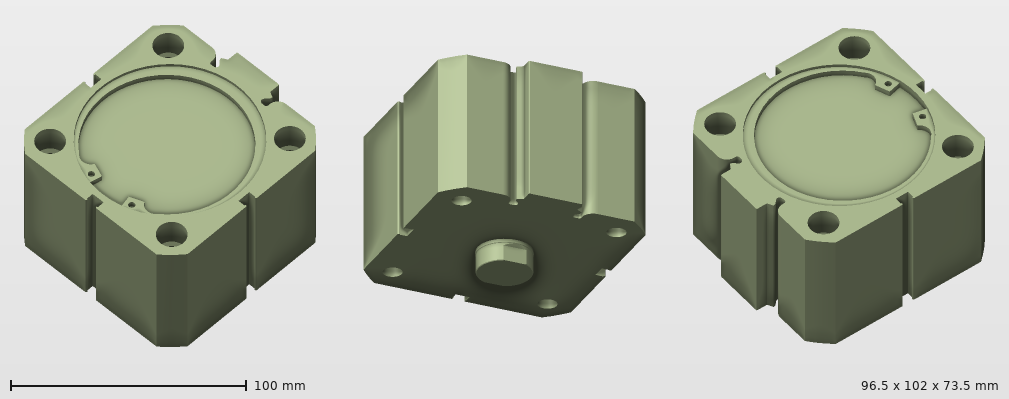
import cadquery as cq
import math


body_width = 96.5
half_width = body_width / 2
body_height = 63.5
corner_radius = 62.0
corner_reach = math.sqrt(corner_radius**2 - half_width**2)

hole_pitch = 72.0
hole_diameter = 8.6
counterbore_diameter = 13.5
counterbore_depth = 13.5

slot_width = 6.5
slot_depth = 4.5
slot_mouth_width = 5.5
slot_lip = 0.9
slot_mouth_chamfer = 0.4

rail_top = 53.75
rail_half_width = 12.5
rail_edge_radius = 0.5
groove_floor = 41.3
groove_outer_wall = 16.9
groove_shoulder_radius = 5.0
groove_corner_radius = 1.0
hook_tip_x = 15.2
hook_tip_y = 46.8
hook_nose_x = 14.9
groove_round_x = 14.3
groove_round_radius = 1.5

bore_radius = 40.9
ring_recess = 1.5
ring_thickness = 2.9
cover_thickness = 10.0
ring_bottom = body_height - ring_recess - ring_thickness
cover_bottom = ring_bottom - cover_thickness

ring_inner_radius = 37.6
ring_inner_offset = -1.9
neck_radius = 5.0
neck_center = (19.2, -28.4)
lug_tip_x = 14.75
lug_inner_corner = (7.95, -33.3)
lug_end_x = 9.4
lug_hole_center = (11.95, -35.6)
lug_hole_diameter = 3.1

rod_diameter = 25.0
rod_end_diameter = 24.5
rod_collar_length = 1.75
rod_length_outside = 10.0
rod_chamfer = 0.3
flats_width = 22.0


def mirrored(point):
    """The point reflected in the YZ plane."""
    x, y = point
    return (-x, y)


def make_block():
    half = half_width
    reach = corner_reach
    corner = corner_radius * math.sqrt(0.5)
    return (
        cq.Workplane("XY")
        .moveTo(half, -reach)
        .lineTo(half, reach)
        .threePointArc((corner, corner), (reach, half))
        .lineTo(-reach, half)
        .threePointArc((-corner, corner), (-half, reach))
        .lineTo(-half, -reach)
        .threePointArc((-corner, -corner), (-reach, -half))
        .lineTo(reach, -half)
        .threePointArc((corner, -corner), (half, -reach))
        .close()
        .extrude(body_height)
    )


def make_rail():
    height = rail_top - groove_floor
    return (
        cq.Workplane("XY")
        .rect(2 * rail_half_width, height)
        .extrude(body_height)
        .edges("|Z and >Y")
        .fillet(rail_edge_radius)
        .translate((0, groove_floor + height / 2, 0))
    )


def make_groove():
    """Undercut groove on the +X side of the rail, between its hook and the rounded shoulder."""
    shoulder_x = groove_outer_wall + groove_shoulder_radius
    shoulder_y = half_width - groove_shoulder_radius
    shoulder_mid = groove_shoulder_radius * math.sqrt(0.5)
    corner = groove_corner_radius
    corner_mid = corner * (1 - math.sqrt(0.5))
    round_y = groove_floor + groove_round_radius
    round_diagonal = groove_round_radius * math.sqrt(0.5)
    flank_end = (groove_round_x - round_diagonal, round_y + round_diagonal)
    nose_y = flank_end[1] + hook_nose_x - flank_end[0]
    return (
        cq.Workplane("XY")
        .moveTo(rail_half_width, half_width)
        .lineTo(hook_tip_x, hook_tip_y)
        .lineTo(hook_nose_x, nose_y)
        .lineTo(*flank_end)
        .threePointArc((groove_round_x - groove_round_radius, round_y), (groove_round_x, groove_floor))
        .lineTo(groove_outer_wall - corner, groove_floor)
        .threePointArc(
            (groove_outer_wall - corner_mid, groove_floor + corner_mid),
            (groove_outer_wall, groove_floor + corner),
        )
        .lineTo(groove_outer_wall, shoulder_y)
        .threePointArc(
            (shoulder_x - shoulder_mid, shoulder_y + shoulder_mid),
            (shoulder_x, half_width),
        )
        .close()
        .extrude(body_height)
    )


def make_slot():
    """Sensor slot in the -Y face, narrowed by a lip with chamfered edges at its mouth."""
    half_slot = slot_width / 2
    half_mouth = slot_mouth_width / 2
    flared_mouth = half_mouth + slot_mouth_chamfer
    face = -half_width
    right_side = [
        (flared_mouth, face),
        (half_mouth, face + slot_mouth_chamfer),
        (half_mouth, face + slot_lip),
        (half_slot, face + slot_lip),
        (half_slot, face + slot_depth),
    ]
    left_side = [mirrored(point) for point in reversed(right_side)]
    return cq.Workplane("XY").polyline(right_side + left_side).close().extrude(body_height)


def make_housing():
    housing = make_block().union(make_rail())
    groove = make_groove()
    housing = housing.cut(groove).cut(groove.mirror("YZ"))
    for angle in (-90, 0, 90):
        housing = housing.cut(make_slot().rotate((0, 0, 0), (0, 0, 1), angle))
    housing = (
        housing.faces(">Z")
        .workplane(origin=(0, 0, body_height))
        .rect(hole_pitch, hole_pitch, forConstruction=True)
        .vertices()
        .cboreHole(hole_diameter, counterbore_diameter, counterbore_depth)
    )
    head_bore = cq.Workplane("XY").workplane(offset=cover_bottom).circle(bore_radius).extrude(body_height)
    rod_hole = cq.Workplane("XY").circle(rod_diameter / 2).extrude(cover_bottom)
    return housing.cut(head_bore).cut(rod_hole)


def make_cover():
    return cq.Workplane("XY").workplane(offset=cover_bottom).circle(bore_radius).extrude(cover_thickness)


def make_ring():
    """Open retaining ring: off-axis inner circle, round necks and two lugs with plier holes."""
    neck_x, neck_y = neck_center
    lug_tip = (lug_tip_x, neck_y - math.sqrt(neck_radius**2 - (neck_x - lug_tip_x) ** 2))
    neck_bottom = (neck_x, neck_y - neck_radius)
    lug_end = (lug_end_x, -math.sqrt(bore_radius**2 - lug_end_x**2))

    rise = neck_y - ring_inner_offset
    distance = math.hypot(neck_x, rise)
    along = (distance**2 + ring_inner_radius**2 - neck_radius**2) / (2 * distance)
    across = math.sqrt(ring_inner_radius**2 - along**2)
    neck_start = (
        (along * neck_x - across * rise) / distance,
        ring_inner_offset + (along * rise + across * neck_x) / distance,
    )

    hole_x, hole_y = lug_hole_center
    return (
        cq.Workplane("XY")
        .workplane(offset=ring_bottom)
        .moveTo(*lug_end)
        .threePointArc((0, bore_radius), mirrored(lug_end))
        .lineTo(*mirrored(lug_inner_corner))
        .lineTo(*mirrored(lug_tip))
        .threePointArc(mirrored(neck_bottom), mirrored(neck_start))
        .threePointArc((0, ring_inner_offset + ring_inner_radius), neck_start)
        .threePointArc(neck_bottom, lug_tip)
        .lineTo(*lug_inner_corner)
        .close()
        .pushPoints([(hole_x, hole_y), (-hole_x, hole_y)])
        .circle(lug_hole_diameter / 2)
        .extrude(ring_thickness)
    )


def make_rod():
    """Rod with a stepped-down end that carries two wrench flats, each run out by a 45 degree slope."""
    radius = rod_diameter / 2
    end_radius = rod_end_diameter / 2
    shaft = (
        cq.Workplane("XY")
        .workplane(offset=-rod_collar_length)
        .circle(radius)
        .extrude(cover_bottom + rod_collar_length)
        .faces("<Z")
        .chamfer(radius - end_radius)
    )
    end = (
        cq.Workplane("XY")
        .workplane(offset=-rod_length_outside)
        .circle(end_radius)
        .extrude(rod_length_outside - rod_collar_length)
        .faces("<Z")
        .chamfer(rod_chamfer)
    )
    half_flats = flats_width / 2
    slope = end_radius - half_flats
    flat_cut = (
        cq.Workplane("YZ")
        .moveTo(end_radius, -rod_collar_length)
        .lineTo(half_flats, -rod_collar_length - slope)
        .lineTo(half_flats, -rod_length_outside)
        .lineTo(radius, -rod_length_outside)
        .lineTo(radius, -rod_collar_length)
        .close()
        .extrude(radius, both=True)
    )
    return shaft.union(end).cut(flat_cut).cut(flat_cut.mirror("XZ"))


housing = make_housing()
cover = make_cover()
ring = make_ring()
rod = make_rod()

result = cq.Compound.makeCompound([housing.val(), cover.val(), ring.val(), rod.val()])